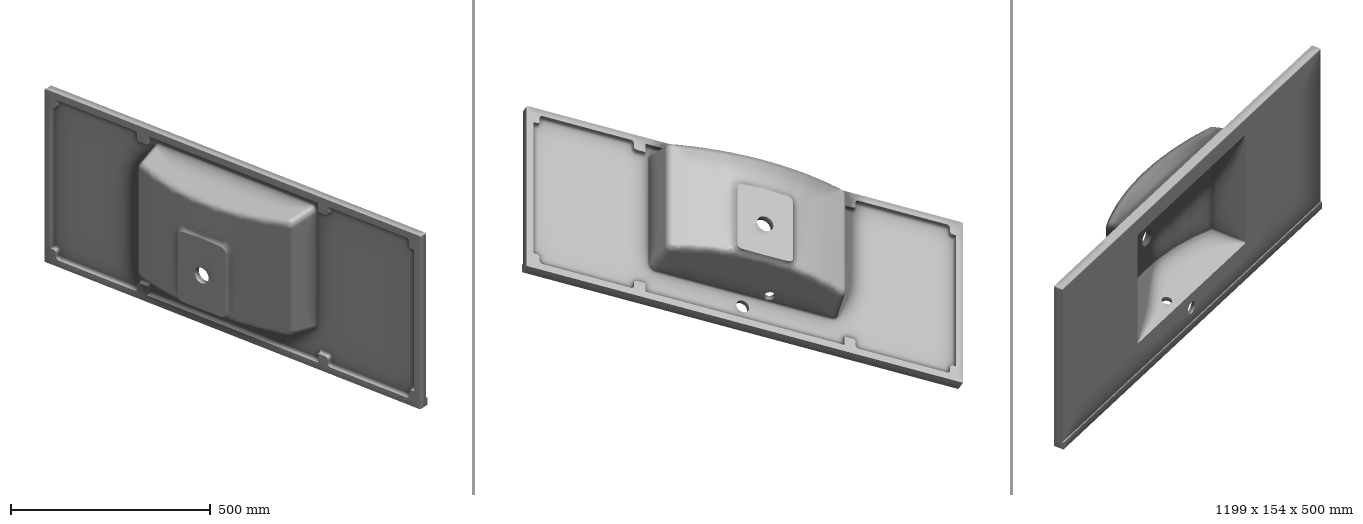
import cadquery as cq
import math

WIDTH = 1199
HEIGHT = 500.0
SLAB = 25.0
REAR_ROUND = 4.0
LIP_RISE = 4.0
LIP_HEIGHT = 22.0
HALF_W = WIDTH / 2
HALF_H = HEIGHT / 2

RECESS_DEPTH = 13.0
RIM = 19.0
BLOCK_DEPTH = 45.0
CORNER_BLOCK = 36.0
BLOCK_IN = 273.0
BLOCK_OUT = 305.0
BLOCK_ROUND = 8.0
FLOOR_ROUND = 7.0

WALL = 12.0
BASIN_HALF_W = 260.0
BASIN_TOP = 210.0
BASIN_BOTTOM = -150.0
DRAFT = 9.5
BELLY_RADIUS = 672
BELLY_Y = -(SLAB + 120)
BASIN_ROUND = 18.0
ROOT_ROUND = 5.0

PAD_FACE_Y = -(SLAB + 125.0)
PAD_HALF_W = 74.0
PAD_TOP = 79.0
PAD_BOTTOM = -118.0
PAD_ROUND = 12.0
PAD_COVE = 22.0
PAD_SPARE = 36
BELLY_RISE = 18.0
DRAIN_Z = -20.0
DRAIN_DIAMETER = 44.0
TAP_Z = -185.0
TAP_DIAMETER = 35.0
OVERFLOW_X = 65.0
OVERFLOW_Y = -32.0
OVERFLOW_DIAMETER = 26.0

FLOOR_Y = RECESS_DEPTH - SLAB
MARGIN = 1.0


def plane_at(y):
    """XZ sketch plane at the given Y; positive extrusion runs toward -Y."""
    return cq.Workplane("XZ", origin=(0, y, 0))


def make_slab():
    """Flat slab with a low lip behind its bottom edge."""
    slab = cq.Workplane("XY").box(WIDTH, SLAB, HEIGHT).translate((0, -SLAB / 2, 0))
    slab = slab.edges("|Y and >Z").fillet(REAR_ROUND)
    slab = slab.faces(">Y").edges().fillet(REAR_ROUND)
    lip = (
        cq.Workplane("XY")
        .box(WIDTH, LIP_RISE + SLAB / 2, LIP_HEIGHT, centered=(True, False, False))
        .translate((0, -SLAB / 2, -HALF_H))
    )
    return slab.union(lip)


def make_recess():
    """Rectangular pocket with screw blocks standing in from its rim."""
    pocket = plane_at(-SLAB).rect(WIDTH - 2 * RIM, HEIGHT - 2 * RIM).extrude(-RECESS_DEPTH)
    for side_x in (-1, 1):
        for side_z in (-1, 1):
            for near, far in ((BLOCK_IN, BLOCK_OUT), (HALF_W - CORNER_BLOCK, HALF_W)):
                block = (
                    plane_at(-SLAB)
                    .center(side_x * (near + far) / 2, side_z * (HALF_H - BLOCK_DEPTH / 2))
                    .rect(far - near, BLOCK_DEPTH)
                    .extrude(-RECESS_DEPTH)
                )
                pocket = pocket.cut(block)
    for side in (-1, 1):
        wing = cq.selectors.BoxSelector(
            (side * (BLOCK_OUT - MARGIN), -SLAB, -HALF_H),
            (side * (HALF_W - RIM - MARGIN), 0, HALF_H),
        )
        pocket = pocket.edges("|Y").edges(wing).fillet(BLOCK_ROUND)
    return pocket.faces(">Y").edges().fillet(FLOOR_ROUND)


def make_basin(inset):
    """Drafted basin body with rounded edges, shrunk evenly by inset."""
    half_w = BASIN_HALF_W - inset
    top = BASIN_TOP - inset
    bottom = BASIN_BOTTOM + inset
    spread = -FLOOR_Y * math.tan(math.radians(DRAFT))
    body = (
        plane_at(0)
        .center(0, (top + bottom) / 2)
        .rect(2 * (half_w + spread), top - bottom + 2 * spread)
        .extrude(-PAD_FACE_Y, taper=DRAFT)
    )
    belly = (
        cq.Workplane("XY", origin=(0, BELLY_Y + BELLY_RADIUS, -HALF_H))
        .circle(BELLY_RADIUS - inset)
        .extrude(HEIGHT)
    )
    body = body.intersect(belly)
    return body.edges("not >Y").fillet(BASIN_ROUND - inset)


def add_pad(basin):
    """Drain pad: blend a taller block into the belly, then trim it to the pad face."""
    block = (
        plane_at(BELLY_Y + BELLY_RISE)
        .center(0, (PAD_TOP + PAD_BOTTOM) / 2)
        .rect(2 * PAD_HALF_W, PAD_TOP - PAD_BOTTOM)
        .extrude(BELLY_RISE + PAD_SPARE)
        .edges("|Y")
        .fillet(PAD_ROUND)
    )
    around_foot = cq.selectors.BoxSelector(
        (-PAD_HALF_W - MARGIN, BELLY_Y - MARGIN, PAD_BOTTOM - MARGIN),
        (PAD_HALF_W + MARGIN, BELLY_Y + BELLY_RISE, PAD_TOP + MARGIN),
    )
    padded = basin.union(block)
    padded = padded.edges(around_foot).edges("not(|Y)").fillet(PAD_COVE)
    trim = plane_at(PAD_FACE_Y).rect(WIDTH, HEIGHT).extrude(2 * PAD_SPARE)
    return padded.cut(trim)


def through_hole(x, z, diameter):
    return plane_at(LIP_RISE).center(x, z).circle(diameter / 2).extrude(LIP_RISE - PAD_FACE_Y)


def overflow_hole():
    """Hole through the drafted bottom wall of the basin."""
    return (
        cq.Workplane("XY", origin=(OVERFLOW_X, OVERFLOW_Y, BASIN_BOTTOM - WALL))
        .circle(OVERFLOW_DIAMETER / 2)
        .extrude(3 * WALL)
    )


slab = make_slab().cut(make_recess())
basin = add_pad(make_basin(0))
root = cq.selectors.BoxSelector(
    (-BASIN_HALF_W - MARGIN, FLOOR_Y - MARGIN, BASIN_BOTTOM - MARGIN),
    (BASIN_HALF_W + MARGIN, FLOOR_Y + MARGIN, BASIN_TOP + MARGIN),
)
result = slab.union(basin)
result = result.edges(root).fillet(ROOT_ROUND)
result = result.cut(make_basin(WALL))
result = result.cut(through_hole(0, DRAIN_Z, DRAIN_DIAMETER))
result = result.cut(through_hole(0, TAP_Z, TAP_DIAMETER))
result = result.cut(overflow_hole())